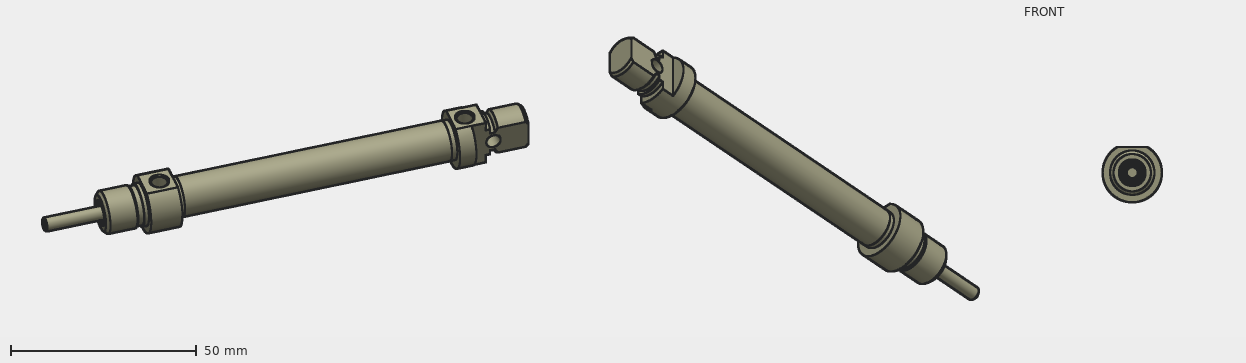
import cadquery as cq


total_length = 136.0
head_diameter = 16.0
shank_diameter = 12.0
head_top = 7.0

rod_diameter = 4.0
rod_tip_diameter = 3.0
rod_chamfer = (rod_diameter - rod_tip_diameter) / 2

nose_start = 16.0
nose_groove_start = 24.6
nose_groove_end = 26.7
front_head_start = 27.9
front_head_end = 36.7
nose_face_diameter = 10.0
nose_groove_diameter = 11.2
nose_chamfer = (shank_diameter - nose_face_diameter) / 2
nose_groove_taper = (shank_diameter - nose_groove_diameter) / 2

gland_diameter = 6.7
gland_chamfer = 0.3
gland_depth = 1.4
lip_diameter = 6.5
lip_chamfer = 0.4
lip_height = 1.1
lip_bore_diameter = 4.5
lip_bore_mouth_diameter = 4.8
lip_bore_chamfer = (lip_bore_mouth_diameter - lip_bore_diameter) / 2

barrel_diameter = 11.3
neck_diameter = 11.2
neck_length = 1.5
barrel_start = front_head_end + neck_length

rear_head_length = 8.5
side_cut_length = 4.0
rear_head_start = total_length - 20.7
rear_head_end = rear_head_start + rear_head_length
barrel_end = rear_head_start - neck_length
lug_groove_start = total_length - 10.9
lug_groove_end = total_length - 8.7
lug_groove_diameter = 10.0
lug_groove_taper = 0.8
lug_end_chamfer_length = 0.8
lug_end_chamfer_height = 0.7
lug_width = 8.2
pivot_diameter = 4.1
pivot_y = total_length - 9.9

port_diameter = 4.5
port_mouth_diameter = 5.3
port_chamfer = (port_mouth_diameter - port_diameter) / 2
port_offset = 4.0
rear_port_depth = 4.1
drill_point_height = port_diameter / 4


def turned(profile):
    """Solid of revolution about Y from (radius, y) points that start and end on the axis."""
    return cq.Workplane("XY").polyline(profile).close().revolve(360, (0, 0, 0), (0, 1, 0))


def box_between(x_range, y_range, z_range):
    """Box between the given limits."""
    sizes = [high - low for low, high in (x_range, y_range, z_range)]
    corner = (x_range[0], y_range[0], z_range[0])
    return cq.Workplane("XY").box(*sizes, centered=False).translate(corner)


def top_flat_cutter(y_start, y_end):
    """Block that removes everything above the port flat of a head."""
    radius = head_diameter / 2
    return box_between((-radius, radius), (y_start, y_end), (head_top, head_diameter))


def port_cutter(y, depth, point_height):
    """Chamfered port drilled down from the head flat, ending in a drill point of the given height."""
    radius = port_diameter / 2
    floor = head_top - depth
    profile = (
        cq.Workplane("XZ")
        .moveTo(0, head_top)
        .lineTo(port_mouth_diameter / 2, head_top)
        .lineTo(radius, head_top - port_chamfer)
        .lineTo(radius, floor)
        .lineTo(0, floor - point_height)
        .close()
    )
    return profile.revolve(360, (0, 0, 0), (0, 1, 0)).translate((0, y, 0))


def make_rod():
    """Piston rod with a chamfered tip, ending flush with the inner face of the front cap."""
    return turned([
        (0, 0),
        (rod_tip_diameter / 2, 0),
        (rod_diameter / 2, rod_chamfer),
        (rod_diameter / 2, barrel_start),
        (0, barrel_start),
    ])


def make_gland_cutter():
    """Recess in the nose face, leaving the bored and chamfered wiper lip standing on its floor."""
    gland_radius = gland_diameter / 2
    lip_radius = lip_diameter / 2
    bore_radius = lip_bore_diameter / 2
    floor = nose_start + gland_depth
    lip_face = floor - lip_height
    return turned([
        (0, nose_start),
        (gland_radius + gland_chamfer, nose_start),
        (gland_radius, nose_start + gland_chamfer),
        (gland_radius, floor),
        (lip_radius, floor),
        (lip_radius, lip_face + lip_chamfer),
        (lip_radius - lip_chamfer, lip_face),
        (bore_radius + lip_bore_chamfer, lip_face),
        (bore_radius, lip_face + lip_bore_chamfer),
        (bore_radius, floor),
        (0, floor),
    ])


def make_front_cap(rod):
    """Front cap: chamfered nose, groove, ported head and neck, bored to fit the rod."""
    shank_radius = shank_diameter / 2
    groove_radius = nose_groove_diameter / 2
    head_radius = head_diameter / 2
    neck_radius = neck_diameter / 2
    cap = turned([
        (0, nose_start),
        (nose_face_diameter / 2, nose_start),
        (shank_radius, nose_start + nose_chamfer),
        (shank_radius, nose_groove_start),
        (groove_radius, nose_groove_start + nose_groove_taper),
        (groove_radius, nose_groove_end),
        (shank_radius, nose_groove_end),
        (shank_radius, front_head_start),
        (head_radius, front_head_start),
        (head_radius, front_head_end),
        (neck_radius, front_head_end),
        (neck_radius, barrel_start),
        (0, barrel_start),
    ])
    cap = cap.cut(top_flat_cutter(front_head_start, front_head_end))
    cap = cap.cut(make_gland_cutter())
    cap = cap.cut(port_cutter(front_head_end - port_offset, head_top, 0))
    return cap.cut(rod)


def make_barrel():
    """Plain round barrel between the necks of the two caps."""
    radius = barrel_diameter / 2
    return turned([(0, barrel_start), (radius, barrel_start), (radius, barrel_end), (0, barrel_end)])


def make_rear_cap():
    """Rear cap: neck, ported head and a flat-sided lug with a groove and a pivot hole."""
    shank_radius = shank_diameter / 2
    groove_radius = lug_groove_diameter / 2
    head_radius = head_diameter / 2
    neck_radius = neck_diameter / 2
    cap = turned([
        (0, barrel_end),
        (neck_radius, barrel_end),
        (neck_radius, rear_head_start),
        (head_radius, rear_head_start),
        (head_radius, rear_head_end),
        (shank_radius, rear_head_end),
        (shank_radius, lug_groove_start),
        (groove_radius, lug_groove_start),
        (groove_radius, lug_groove_end - lug_groove_taper),
        (shank_radius, lug_groove_end),
        (shank_radius, total_length - lug_end_chamfer_length),
        (shank_radius - lug_end_chamfer_height, total_length),
        (0, total_length),
    ])
    cap = cap.cut(top_flat_cutter(rear_head_start, rear_head_end))

    half_width = lug_width / 2
    flat_y = (rear_head_end - side_cut_length, total_length)
    flat_z = (-head_radius, head_radius)
    for flat_x in ((-head_radius, -half_width), (half_width, head_radius)):
        cap = cap.cut(box_between(flat_x, flat_y, flat_z))

    pivot = cq.Workplane("YZ").center(pivot_y, 0).circle(pivot_diameter / 2).extrude(half_width, both=True)
    cap = cap.cut(pivot)
    return cap.cut(port_cutter(rear_head_start + port_offset, rear_port_depth, drill_point_height))


rod = make_rod()
front_cap = make_front_cap(rod)
barrel = make_barrel()
rear_cap = make_rear_cap()

result = cq.Compound.makeCompound([rod.val(), front_cap.val(), barrel.val(), rear_cap.val()])